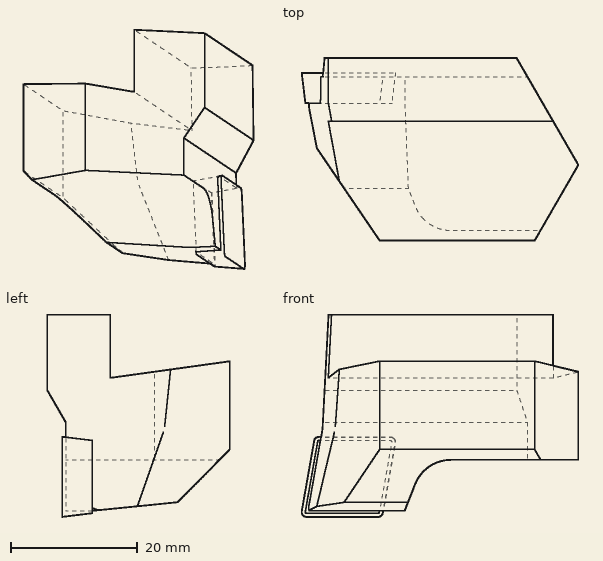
import cadquery as cq
import math


def tan_deg(angle):
    return math.tan(math.radians(angle))


LENGTH = 43.75
DEPTH = 28.88
HEIGHT = 32.0

INSERT_WIDTH = 12.7
INSERT_THICKNESS = 4.75
INSERT_CORNER_RADIUS = 0.8
INSERT_ANGLE = 80.0
INSERT_CLEARANCE = 7.0
INSERT_FACE_Y = 26.5
SEAT_Y = INSERT_FACE_Y - INSERT_THICKNESS

RIB_FRONT_Y = 18.9
RIB_FOOT_Z = 22.0
FRONT_TOP_Z = 24.65
FRONT_BOTTOM_Z = 10.68
UNDERSIDE_Y = 8.25
UNDERSIDE_Z = 2.3
HOLDER_BOTTOM_Z = 0.95
POCKET_BACK_Y = 25.95
BACK_BEVEL_TOP_Z = 20.05
BACK_BEVEL_BOTTOM_Z = 14.95

FRONT_LEFT_X = 12.35
FRONT_RIGHT_X = 36.85
FRONT_LEFT_ANGLE = 34.2
END_ANGLE = 30.0

SIDE_TOP_X = 4.25
SIDE_UPPER_ANGLE = 3.0
SIDE_LOWER_ANGLE = 10.0
SIDE_BEND_Z = 13.85
SIDE_BEND_X = SIDE_TOP_X - (HEIGHT - SIDE_BEND_Z) * tan_deg(SIDE_UPPER_ANGLE)
SIDE_BEND_RADIUS = 8.0
SIDE_RELIEF_ANGLE = 10.0

CORNER_BEVEL_WIDTH = 0.2
CORNER_BEVEL_HEIGHT = 0.5

RELIEF_Z = 9.0
RELIEF_CORNER_X = 19.45
RELIEF_SLOPE_ANGLE = 21.5
RELIEF_RADIUS = 6.0


def make_cross_section():
    """Holder section in YZ, swept over the full length."""
    points = [
        (DEPTH, HEIGHT),
        (RIB_FRONT_Y, HEIGHT),
        (RIB_FRONT_Y, RIB_FOOT_Z),
        (0, FRONT_TOP_Z),
        (0, FRONT_BOTTOM_Z),
        (UNDERSIDE_Y, UNDERSIDE_Z),
        (SEAT_Y, HOLDER_BOTTOM_Z),
        (POCKET_BACK_Y, HOLDER_BOTTOM_Z),
        (POCKET_BACK_Y, BACK_BEVEL_BOTTOM_Z),
        (DEPTH, BACK_BEVEL_TOP_Z),
    ]
    return cq.Workplane("YZ").polyline(points).close().extrude(LENGTH)


def make_plan():
    """Plan outline, extruded over the full height."""
    end_y = (LENGTH - FRONT_RIGHT_X) / tan_deg(END_ANGLE)
    back_right_x = LENGTH - (DEPTH - end_y) * tan_deg(END_ANGLE)
    left_y = FRONT_LEFT_X / tan_deg(FRONT_LEFT_ANGLE)
    points = [
        (FRONT_LEFT_X, 0),
        (FRONT_RIGHT_X, 0),
        (LENGTH, end_y),
        (back_right_x, DEPTH),
        (0, DEPTH),
        (0, left_y),
    ]
    return cq.Workplane("XY").polyline(points).close().extrude(HEIGHT)


def make_side_envelope():
    """Space to the right of the bent side face, straight behind the seat and leaning ahead of it."""
    upper = math.radians(SIDE_UPPER_ANGLE)
    lower = math.radians(SIDE_LOWER_ANGLE)
    middle = (upper + lower) / 2
    half_turn = (lower - upper) / 2
    tangent = SIDE_BEND_RADIUS * math.tan(half_turn)
    sagitta = SIDE_BEND_RADIUS * (1 / math.cos(half_turn) - 1)
    arc_start = (SIDE_BEND_X + tangent * math.sin(upper), SIDE_BEND_Z + tangent * math.cos(upper))
    arc_middle = (SIDE_BEND_X - sagitta * math.cos(middle), SIDE_BEND_Z + sagitta * math.sin(middle))
    arc_end = (SIDE_BEND_X - tangent * math.sin(lower), SIDE_BEND_Z - tangent * math.cos(lower))
    profile = (
        cq.Workplane("XZ", origin=(0, SEAT_Y, 0))
        .moveTo(LENGTH, HEIGHT)
        .lineTo(SIDE_TOP_X, HEIGHT)
        .lineTo(*arc_start)
        .threePointArc(arc_middle, arc_end)
        .lineTo(SIDE_BEND_X - SIDE_BEND_Z * math.tan(lower), 0)
        .lineTo(LENGTH, 0)
        .close()
        .val()
    )
    behind = cq.Solid.extrudeLinear(profile, [], cq.Vector(0, DEPTH - SEAT_Y, 0))
    lean = cq.Vector(SEAT_Y * tan_deg(SIDE_RELIEF_ANGLE), -SEAT_Y, 0)
    ahead = cq.Solid.extrudeLinear(profile, [], lean)
    return cq.Workplane(obj=behind).union(cq.Workplane(obj=ahead))


def make_relief():
    """Space below the right-hand part, with a rounded inner corner."""
    slope = math.radians(RELIEF_SLOPE_ANGLE)
    tangent = RELIEF_RADIUS * math.tan((math.pi / 2 - slope) / 2)
    arc_start = (RELIEF_CORNER_X - tangent * math.sin(slope), RELIEF_Z - tangent * math.cos(slope))
    arc_end = (RELIEF_CORNER_X + tangent, RELIEF_Z)
    middle = math.pi / 2 + (math.pi / 2 - slope) / 2
    arc_middle = (
        arc_end[0] + RELIEF_RADIUS * math.cos(middle),
        RELIEF_Z - RELIEF_RADIUS + RELIEF_RADIUS * math.sin(middle),
    )
    return (
        cq.Workplane("XZ")
        .moveTo(RELIEF_CORNER_X - RELIEF_Z * math.tan(slope), 0)
        .lineTo(*arc_start)
        .threePointArc(arc_middle, arc_end)
        .lineTo(LENGTH, RELIEF_Z)
        .lineTo(LENGTH, 0)
        .close()
        .extrude(-DEPTH)
    )


def make_corner_bevel():
    """Triangular cutter along Y; the receding side face and underside make its cut run out."""
    def side_x(z):
        return SIDE_BEND_X - (SIDE_BEND_Z - z) * tan_deg(SIDE_LOWER_ANGLE)

    bevel_top_z = HOLDER_BOTTOM_Z + CORNER_BEVEL_HEIGHT
    corner_x = side_x(HOLDER_BOTTOM_Z)
    points = [
        (corner_x, HOLDER_BOTTOM_Z),
        (corner_x + CORNER_BEVEL_WIDTH, HOLDER_BOTTOM_Z),
        (side_x(bevel_top_z), bevel_top_z),
        (corner_x, bevel_top_z),
    ]
    return cq.Workplane("XZ", origin=(0, SEAT_Y, 0)).polyline(points).close().extrude(SEAT_Y)


def make_insert():
    """Rhombic plate with rounded corners, widest at its cutting face."""
    side = INSERT_WIDTH / math.sin(math.radians(INSERT_ANGLE))
    lean = INSERT_WIDTH / tan_deg(INSERT_ANGLE)
    tip_x = INSERT_CORNER_RADIUS * (1 - 1 / tan_deg(INSERT_ANGLE / 2))
    points = [
        (tip_x, 0),
        (tip_x + side, 0),
        (tip_x + side + lean, INSERT_WIDTH),
        (tip_x + lean, INSERT_WIDTH),
    ]
    outline = cq.Sketch().polygon(points + points[:1]).vertices().fillet(INSERT_CORNER_RADIUS)
    return (
        cq.Workplane("XZ", origin=(0, INSERT_FACE_Y, 0))
        .placeSketch(outline)
        .extrude(INSERT_THICKNESS, taper=INSERT_CLEARANCE)
    )


def make_holder(insert):
    """Tool holder with a pocket that fits the insert."""
    block = make_cross_section().intersect(make_plan()).intersect(make_side_envelope())
    return block.cut(make_relief()).cut(make_corner_bevel()).cut(insert)


insert = make_insert()
holder = make_holder(insert)

result = cq.Compound.makeCompound([holder.solids().val(), insert.val()])